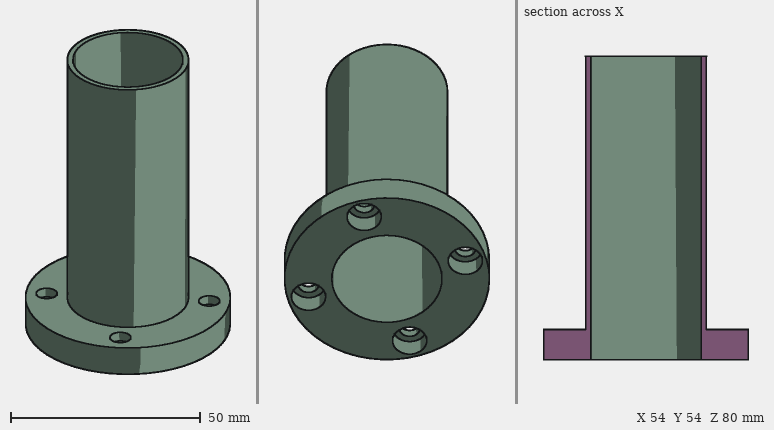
import cadquery as cq

flange_diameter = 54.0
flange_thickness = 8.0
total_height = 80.0
tube_outer_diameter = 32.0
tube_wall = 1.5
bolt_circle_diameter = 43.0
bolt_hole_diameter = 5.5
counterbore_diameter = 9.0
counterbore_depth = 5.4
bolt_hole_count = 4
first_bolt_angle = 45.0

bore_diameter = tube_outer_diameter - 2 * tube_wall


def make_flange():
    """Round base flange resting on the XY plane."""
    return cq.Workplane("XY").circle(flange_diameter / 2).extrude(flange_thickness)


def make_tube():
    """Upright tube body, solid until the bore is cut."""
    return cq.Workplane("XY").circle(tube_outer_diameter / 2).extrude(total_height)


def make_bore():
    """Cutter for the bore through the tube and flange."""
    return cq.Workplane("XY").circle(bore_diameter / 2).extrude(total_height)


def make_bolt_circle_cutters(diameter, depth):
    """Cylinders spaced evenly on the bolt circle, rising from the flange underside."""
    return (
        cq.Workplane("XY")
        .polarArray(bolt_circle_diameter / 2, first_bolt_angle, 360, bolt_hole_count)
        .circle(diameter / 2)
        .extrude(depth)
    )


bolt_holes = make_bolt_circle_cutters(bolt_hole_diameter, flange_thickness)
counterbores = make_bolt_circle_cutters(counterbore_diameter, counterbore_depth)

body = make_flange().union(make_tube()).cut(make_bore())
result = body.cut(bolt_holes).cut(counterbores)